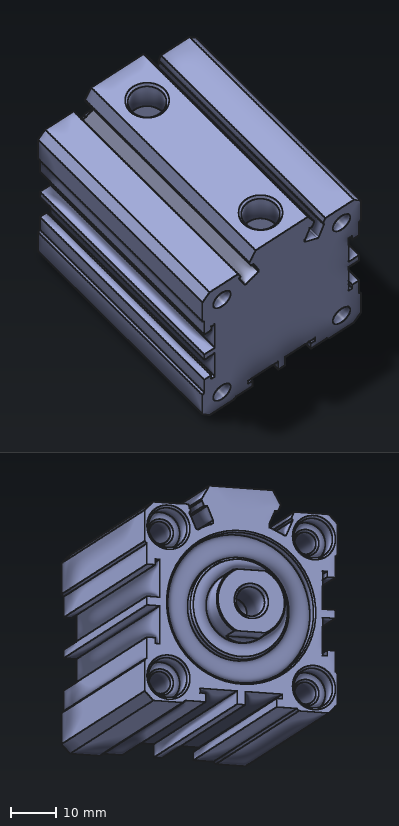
import cadquery as cq
import math

overall_length = 65.0
rod_reach = 7.0
housing_length = overall_length - rod_reach
square_side = 45.0
half_side = square_side / 2
corner_chamfer = 2.0

rail_top = 27.05
rail_top_half = 7.4
rail_wide_half = 9.15
rail_wide_upper_z = 24.0
rail_wide_lower_z = 23.5
rail_lip_half = 8.65
rail_neck_half = 7.9
rail_lip_z = 22.4
rail_root_half = 6.55
rail_root_z = 19.25

slot_inner_floor_z = 18.6
slot_corner_half = 10.4
slot_corner_z = 16.85
slot_corner_radius = 0.3
slot_step_outer = 12.0
slot_step_inner = 11.7
slot_step_lower_z = 20.55
slot_step_upper_z = 21.0
slot_mouth = 12.35

relief_outer_half = 13.45
relief_depth = 0.5
rib_half = 1.0
channel_mouth_half = 8.25
channel_undercut_half = 9.55
channel_lip_depth = 2.5
channel_depth = 3.5

bolt_offset = 16.95
bolt_hole_diameter = 4.95
bolt_hole_chamfer = 0.5
counterbore_diameter = 9.0
counterbore_depth = 5.5
counterbore_chamfer = 0.5

recess_diameter = 34.0
recess_depth = 3.0
recess_chamfer = 0.4
boss_diameter = 23.0
boss_height = 2.4
boss_chamfer = 0.5

port_diameter = 8.6
port_depth = 7.8
port_chamfer = 0.6
port_positions = [10.5, 50.5]

rod_diameter = 16.0
rod_insertion = 19.5
rod_tip_chamfer = 0.25
flat_spacing = 14.0
flat_length = 6.0
rod_hole_diameter = 6.6
rod_hole_depth = 13.0
rod_hole_chamfer = 0.65
drill_point_angle = 118.0


def extrude_along_x(points):
    """Sweep a closed (Y, Z) outline along the whole length of the housing."""
    return cq.Workplane("YZ").polyline(points).close().extrude(housing_length)


def mirrored(points):
    """Reflect (Y, Z) points about the Z axis and reverse their order."""
    return [(-y, z) for y, z in reversed(points)]


def x_cylinder(diameter, start, length, y=0.0, z=0.0):
    """Cylinder along +X from X = start."""
    return cq.Workplane("YZ", origin=(start, y, z)).circle(diameter / 2).extrude(length)


def countersink(diameter, size, start, y=0.0, z=0.0):
    """45-degree cone that breaks the edge of a hole whose mouth is at X = start."""
    radius = diameter / 2
    profile = [(0, 0), (0, radius + size), (size, radius), (size, 0)]
    cone = cq.Workplane("XY").polyline(profile).close().revolve(360, (0, 0, 0), (1, 0, 0))
    return cone.translate((start, y, z))


def housing_blank():
    """Extrusion with chamfered corners, the port rail and the slots beside it."""
    chamfer_end = half_side - corner_chamfer
    right_half = [
        (rail_top_half, rail_top),
        (rail_wide_half, rail_wide_upper_z),
        (rail_wide_half, rail_wide_lower_z),
        (rail_lip_half, rail_lip_z),
        (rail_neck_half, rail_lip_z),
        (rail_root_half, rail_root_z),
        (rail_root_half, slot_inner_floor_z),
        (slot_corner_half, slot_corner_z),
        (slot_step_outer, slot_step_lower_z),
        (slot_step_inner, slot_step_upper_z),
        (slot_mouth, half_side),
        (chamfer_end, half_side),
        (half_side, chamfer_end),
        (half_side, -chamfer_end),
        (chamfer_end, -half_side),
    ]
    blank = extrude_along_x(right_half + mirrored(right_half))
    for y in (-slot_corner_half, slot_corner_half):
        corner_edge = cq.selectors.NearestToPointSelector((housing_length / 2, y, slot_corner_z))
        blank = blank.edges(corner_edge).fillet(slot_corner_radius)
    return blank


def channel_cutter():
    """Shallow relief and a pair of T-channels with a rib between them, on the bottom face."""
    bottom = -half_side
    relief_floor = bottom + relief_depth
    relief_floor_half = relief_outer_half - relief_depth
    relief = [(relief_outer_half, bottom), (relief_floor_half, relief_floor)]
    channel = [
        (rib_half, bottom),
        (rib_half, bottom + channel_depth),
        (channel_undercut_half, bottom + channel_depth),
        (channel_undercut_half, bottom + channel_lip_depth),
        (channel_mouth_half, bottom + channel_lip_depth),
        (channel_mouth_half, bottom),
    ]
    cutter = extrude_along_x(relief + mirrored(relief))
    return cutter.union(extrude_along_x(channel)).union(extrude_along_x(mirrored(channel)))


def bolt_hole_cutter(y, z):
    """Through hole with a counterbore in the front face, both with broken edges."""
    cutter = x_cylinder(bolt_hole_diameter, 0, housing_length, y, z)
    cutter = cutter.union(x_cylinder(counterbore_diameter, 0, counterbore_depth, y, z))
    cutter = cutter.union(countersink(counterbore_diameter, counterbore_chamfer, 0, y, z))
    return cutter.union(countersink(bolt_hole_diameter, bolt_hole_chamfer, counterbore_depth, y, z))


def recess_cutter():
    """Ring-shaped recess that leaves a chamfered boss standing on its floor."""
    recess = x_cylinder(recess_diameter, 0, recess_depth)
    recess = recess.union(countersink(recess_diameter, recess_chamfer, 0))
    boss = x_cylinder(boss_diameter, recess_depth - boss_height, boss_height)
    boss = boss.faces("<X").chamfer(boss_chamfer)
    return recess.cut(boss)


def port_cutter(x):
    """Blind port with a chamfered mouth in the top of the rail."""
    port = x_cylinder(port_diameter, 0, port_depth).union(countersink(port_diameter, port_chamfer, 0))
    return port.rotate((0, 0, 0), (0, 1, 0), 90).translate((x, 0, rail_top))


def make_housing():
    housing = housing_blank()
    for angle in (-90, 0, 90):
        housing = housing.cut(channel_cutter().rotate((0, 0, 0), (1, 0, 0), angle))
    for y in (-bolt_offset, bolt_offset):
        for z in (-bolt_offset, bolt_offset):
            housing = housing.cut(bolt_hole_cutter(y, z))
    housing = housing.cut(recess_cutter())
    for x in port_positions:
        housing = housing.cut(port_cutter(x))
    return housing.cut(x_cylinder(rod_diameter, 0, rod_insertion))


def flat_cutter():
    """Wedge that makes the upper wrench flat and its 45-degree run-out."""
    flat_z = flat_spacing / 2
    rise = rod_diameter / 2 - flat_z
    flat_end = flat_length - rod_reach
    profile = [
        (-rod_reach, flat_z),
        (flat_end, flat_z),
        (flat_end + rise, flat_z + rise),
        (-rod_reach, flat_z + rise),
    ]
    return cq.Workplane("XZ").polyline(profile).close().extrude(rod_diameter / 2, both=True)


def rod_hole_cutter():
    """Blind hole in the rod tip with a chamfered mouth and a conical bottom."""
    radius = rod_hole_diameter / 2
    point_length = radius / math.tan(math.radians(drill_point_angle / 2))
    profile = [
        (0, 0),
        (0, radius + rod_hole_chamfer),
        (rod_hole_chamfer, radius),
        (rod_hole_depth, radius),
        (rod_hole_depth + point_length, 0),
    ]
    hole = cq.Workplane("XY").polyline(profile).close().revolve(360, (0, 0, 0), (1, 0, 0))
    return hole.translate((-rod_reach, 0, 0))


def make_rod():
    rod = x_cylinder(rod_diameter, -rod_reach, rod_reach + rod_insertion)
    rod = rod.faces("<X").chamfer(rod_tip_chamfer)
    upper_flat = flat_cutter()
    rod = rod.cut(upper_flat).cut(upper_flat.mirror("XY"))
    return rod.cut(rod_hole_cutter())


housing = make_housing()
rod = make_rod()
result = cq.Compound.makeCompound([housing.val(), rod.val()])